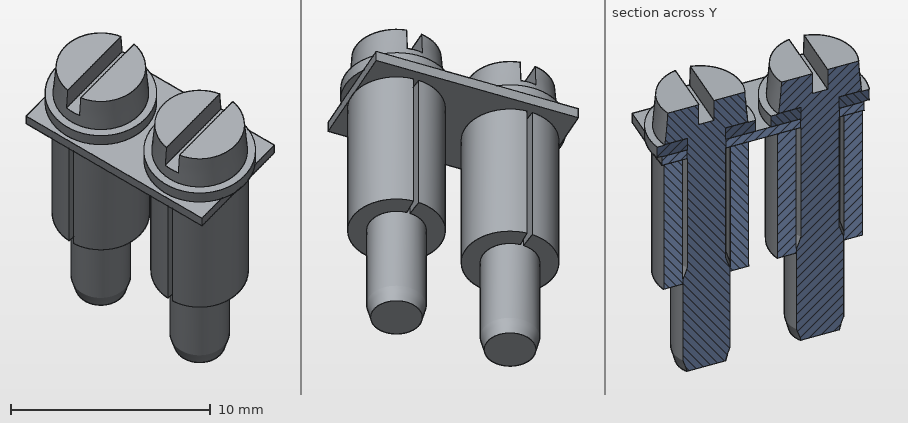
import cadquery as cq

total_height = 17.0
screw_pitch = 6.2
screw_positions = [-screw_pitch / 2, screw_pitch / 2]

head_height = 2.0
head_top_radius = 2.25
head_base_radius = 2.4
slot_width = 0.82
slot_depth = 1.28
neck_radius = 1.3
tip_radius = 1.5
tip_end_radius = 1.3
tip_chamfer_height = 0.8
neck_top_z = 6.7
neck_bottom_z = 5.98

washer_diameter = 5.6
washer_thickness = 0.7
plate_length = 11.05
plate_width = 6.0
plate_thickness = 0.6
sleeve_radius = 2.45
sleeve_length = 8.0
slit_width = 0.29

washer_radius = washer_diameter / 2
head_base_z = total_height - head_height
washer_base_z = head_base_z - washer_thickness
plate_base_z = washer_base_z - plate_thickness
sleeve_base_z = plate_base_z - sleeve_length


def make_plate():
    """Rectangular bridge plate with one close-fitting hole per screw neck."""
    plate = cq.Workplane("XY", origin=(0, 0, plate_base_z)).box(
        plate_length, plate_width, plate_thickness, centered=(True, True, False)
    )
    hole_centres = [(x, 0) for x in screw_positions]
    holes = (
        cq.Workplane("XY", origin=(0, 0, plate_base_z))
        .pushPoints(hole_centres)
        .circle(neck_radius)
        .extrude(plate_thickness)
    )
    return plate.cut(holes)


def make_screw(x):
    """Turned screw with a conical head, a relieved neck above the shank and a driver slot."""
    screw = (
        cq.Workplane("XZ")
        .moveTo(0, 0)
        .lineTo(tip_end_radius, 0)
        .lineTo(tip_radius, tip_chamfer_height)
        .lineTo(tip_radius, neck_bottom_z)
        .lineTo(neck_radius, neck_top_z)
        .lineTo(neck_radius, head_base_z)
        .lineTo(head_base_radius, head_base_z)
        .lineTo(head_top_radius, total_height)
        .lineTo(0, total_height)
        .close()
        .revolve(360, (0, 0, 0), (0, 1, 0))
    )
    slot = cq.Workplane("XY", origin=(0, 0, total_height - slot_depth)).box(
        slot_width, 2 * head_base_radius, slot_depth, centered=(True, True, False)
    )
    return screw.cut(slot).translate((x, 0, 0))


def make_ring(x, base_z, outer_radius, inner_radius, height):
    """Plain ring around the axis of the screw at x."""
    return (
        cq.Workplane("XY", origin=(x, 0, base_z))
        .circle(outer_radius)
        .circle(inner_radius)
        .extrude(height)
    )


def make_washer(x):
    """Flat washer between the screw head and the plate."""
    return make_ring(x, washer_base_z, washer_radius, neck_radius, washer_thickness)


def make_sleeve(x):
    """Sleeve below the plate, split along its full length on the -Y side by a radial wedge."""
    sleeve = make_ring(x, sleeve_base_z, sleeve_radius, tip_radius, sleeve_length)
    slit = (
        cq.Workplane("XY", origin=(x, 0, sleeve_base_z))
        .moveTo(0, 0)
        .lineTo(-slit_width / 2, -sleeve_radius)
        .lineTo(slit_width / 2, -sleeve_radius)
        .close()
        .extrude(sleeve_length)
    )
    return sleeve.cut(slit)


plate = make_plate()
bodies = [plate.val()]
for screw_x in screw_positions:
    bodies.append(make_screw(screw_x).val())
    bodies.append(make_washer(screw_x).val())
    bodies.append(make_sleeve(screw_x).val())

result = cq.Compound.makeCompound(bodies)